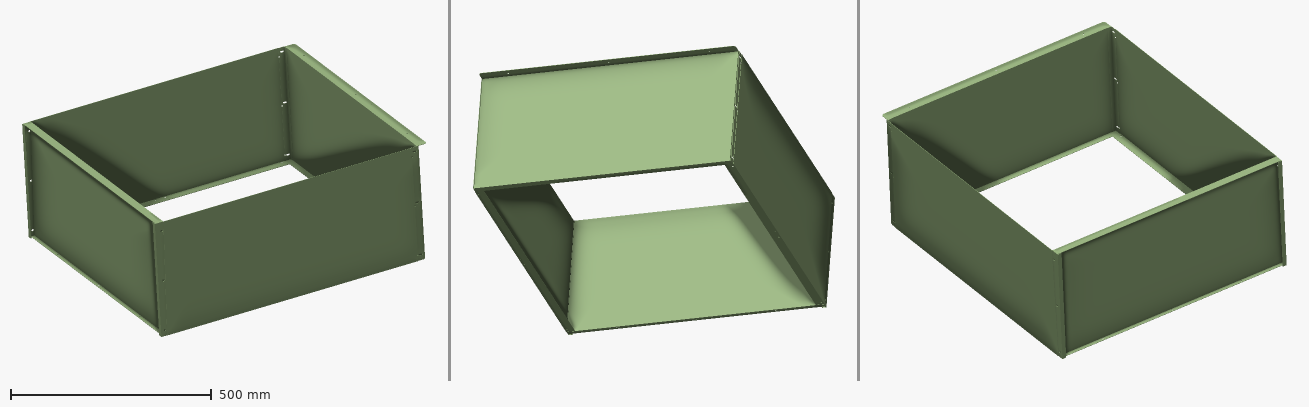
import cadquery as cq
import math

WIDTH = 682.0
LENGTH = 779.0
HEIGHT = 315.5
SHEET = 1.0

ROLL = 3.55
PITCH = 1.45

FRONT_PLATE_TOP = 24.0
FRONT_PLATE_BOTTOM = FRONT_PLATE_TOP - HEIGHT * math.tan(math.radians(PITCH))
FRONT_TOP_FLANGE = 22.0
FRONT_SIDE_FLANGE = 15.0
FRONT_LOW_FLANGE = 11.0
FRONT_HOLE_SPACING = 209.5
FRONT_HOLE_SETBACK = 5.5
SMALL_HOLE = 4.0

REAR_FLANGE = 29.0
REAR_PLATE = LENGTH - REAR_FLANGE
REAR_FLANGE_INSET = 2.0
REAR_CORNER_RADIUS = 8.0
REAR_HOLE_SPACING = 265.0
REAR_HOLE_EDGE = 15.0
REAR_END_FLANGE = 5.0
REAR_LOW_FLANGE = 16.0

STRIP_IN = SHEET
STRIP_OUT = STRIP_IN + SHEET
REAR_STEP = REAR_PLATE - REAR_LOW_FLANGE
LIP = 12.5
SIDE_FLANGE = 23.0
SIDE_HOLE_OFFSET = 5.5
SIDE_HOLE_POSITIONS = (27.0, 361.0, 388.0, 722.0)
SCREW_HEIGHTS = (16.0, 153.5, 290.5)
SCREW_HOLE = 6.0
SCREW_SETBACK = 5.5
SLOT_HEIGHTS = (15.5, 161.0, 303.0)
SLOT_LENGTH = 10.0
SLOT_WIDTH = 5.0
CUT_REACH = 4 * SHEET


def box(x0, x1, y0, y1, z0, z1):
    return cq.Workplane("XY").box(x1 - x0, y1 - y0, z1 - z0, centered=False).translate((x0, y0, z0))


def upright(x0, x1, bottom_y0, bottom_y1, top_y0, top_y1):
    """Full-height slab from x0 to x1 whose front and back edges may lean."""
    outline = [(bottom_y0, 0), (bottom_y1, 0), (top_y1, HEIGHT), (top_y0, HEIGHT)]
    return cq.Workplane("YZ").polyline(outline).close().extrude(x1 - x0).translate((x0, 0, 0))


def hole_along_z(x, y, z, diameter):
    return cq.Workplane("XY").circle(diameter / 2).extrude(CUT_REACH, both=True).translate((x, y, z))


def hole_along_x(x, y, z, diameter):
    return cq.Workplane("YZ").circle(diameter / 2).extrude(CUT_REACH, both=True).translate((x, y, z))


def front_plate_y(z):
    """Back face of the leaning front plate at height z."""
    return FRONT_PLATE_BOTTOM + (FRONT_PLATE_TOP - FRONT_PLATE_BOTTOM) * z / HEIGHT


def front_screw_holes(x):
    holes = cq.Workplane("XY")
    for z in SCREW_HEIGHTS:
        holes = holes.add(hole_along_x(x, front_plate_y(z) - SCREW_SETBACK, z, SCREW_HOLE))
    return holes.combine()


def make_left_panel():
    wall = upright(0, SHEET, FRONT_PLATE_BOTTOM, REAR_STEP, FRONT_PLATE_TOP, REAR_STEP)

    front_step = upright(0, STRIP_OUT, FRONT_PLATE_BOTTOM, FRONT_PLATE_BOTTOM + SHEET,
                         FRONT_PLATE_TOP, FRONT_PLATE_TOP + SHEET)
    front_strip = upright(STRIP_IN, STRIP_OUT, 0, FRONT_PLATE_BOTTOM, 0, FRONT_PLATE_TOP)
    front_lip = box(STRIP_IN, LIP, 0, SHEET, 0, HEIGHT)

    rear_step = box(0, STRIP_OUT, REAR_STEP - SHEET, REAR_STEP, 0, HEIGHT)
    rear_strip = box(STRIP_IN, STRIP_OUT, REAR_STEP, REAR_PLATE, 0, HEIGHT)
    rear_lip = box(STRIP_IN, LIP, REAR_PLATE - SHEET, REAR_PLATE, SHEET, HEIGHT)

    bottom_flange = box(0, SIDE_FLANGE, FRONT_PLATE_BOTTOM + SHEET, REAR_STEP, 0, SHEET)

    panel = wall
    for piece in (front_step, front_strip, front_lip, rear_step, rear_strip, rear_lip, bottom_flange):
        panel = panel.union(piece)

    panel = panel.cut(front_screw_holes(STRIP_IN))
    for z in SCREW_HEIGHTS:
        panel = panel.cut(hole_along_x(0, REAR_STEP, z, SMALL_HOLE))
    slot_y = REAR_STEP + REAR_LOW_FLANGE / 2
    for z in SLOT_HEIGHTS:
        slot = cq.Workplane("XY").box(2 * CUT_REACH, SLOT_LENGTH, SLOT_WIDTH)
        panel = panel.cut(slot.translate((STRIP_IN, slot_y, z)))
    for y in SIDE_HOLE_POSITIONS:
        panel = panel.cut(hole_along_z(SIDE_HOLE_OFFSET, y, 0, SMALL_HOLE))
    return panel


def make_right_panel():
    return make_left_panel().mirror("YZ").translate((WIDTH, 0, 0))


def make_front_panel():
    left = STRIP_OUT
    right = WIDTH - STRIP_OUT
    panel = upright(left, right, FRONT_PLATE_BOTTOM - SHEET, FRONT_PLATE_BOTTOM,
                    FRONT_PLATE_TOP - SHEET, FRONT_PLATE_TOP)

    top_back = front_plate_y(HEIGHT - SHEET)
    top_front = FRONT_PLATE_TOP - FRONT_TOP_FLANGE
    panel = panel.union(box(left, right, top_front, top_back, HEIGHT - SHEET, HEIGHT))
    panel = panel.union(box(left, right, FRONT_PLATE_BOTTOM - FRONT_LOW_FLANGE, FRONT_PLATE_BOTTOM, 0, SHEET))
    for x in (left, right - SHEET):
        panel = panel.union(upright(x, x + SHEET, FRONT_PLATE_BOTTOM - FRONT_SIDE_FLANGE, FRONT_PLATE_BOTTOM,
                                    FRONT_PLATE_TOP - FRONT_SIDE_FLANGE, FRONT_PLATE_TOP))
        panel = panel.cut(front_screw_holes(x))

    for step in (-1, 0, 1):
        x = WIDTH / 2 + step * FRONT_HOLE_SPACING
        panel = panel.cut(hole_along_z(x, FRONT_PLATE_BOTTOM - FRONT_HOLE_SETBACK, 0, SMALL_HOLE))
    return panel


def make_rear_panel():
    left = REAR_FLANGE_INSET
    right = WIDTH - REAR_FLANGE_INSET
    panel = box(left, right, REAR_PLATE, REAR_PLATE + SHEET, 0, HEIGHT)

    top_flange = box(left, right, REAR_PLATE, LENGTH, HEIGHT - SHEET, HEIGHT)
    panel = panel.union(top_flange.edges("|Z and >Y").fillet(REAR_CORNER_RADIUS))
    panel = panel.union(box(left, right, REAR_STEP, REAR_PLATE + SHEET, 0, SHEET))
    for x in (left, right - SHEET):
        panel = panel.union(box(x, x + SHEET, REAR_PLATE, REAR_PLATE + REAR_END_FLANGE, 0, HEIGHT))

    for step in (-1, 0, 1):
        x = WIDTH / 2 + step * REAR_HOLE_SPACING
        panel = panel.cut(hole_along_z(x, LENGTH - REAR_HOLE_EDGE, HEIGHT, SMALL_HOLE))
    return panel


def tilt(panel):
    """Pitch the panel about X, then roll it about Y, with the rest of the frame."""
    pitched = panel.rotate((0, 0, 0), (1, 0, 0), PITCH)
    return pitched.rotate((0, 0, 0), (0, 1, 0), -ROLL)


left_panel = tilt(make_left_panel())
right_panel = tilt(make_right_panel())
front_panel = tilt(make_front_panel())
rear_panel = tilt(make_rear_panel())

result = cq.Compound.makeCompound([
    left_panel.solids().val(),
    right_panel.solids().val(),
    front_panel.solids().val(),
    rear_panel.solids().val(),
])